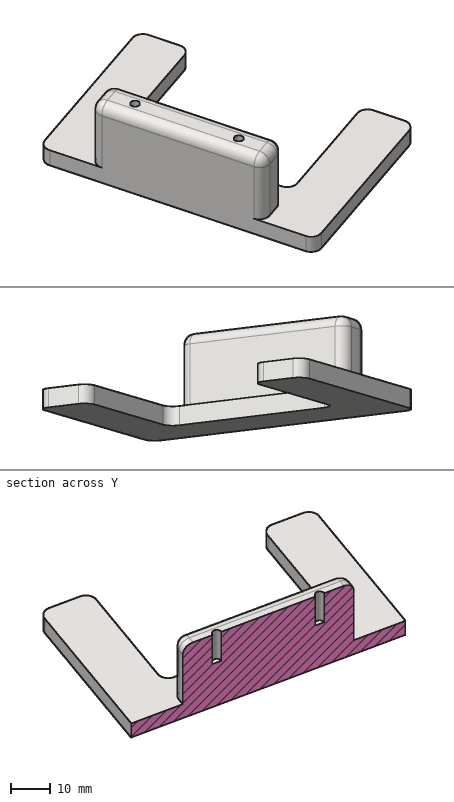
import cadquery as cq

plate_length = 80.0
plate_depth = plate_length * 2 / 3
plate_thickness = 5.0
arm_width = 15.0
crossbar_width = 15.0
opening_width = plate_length - 2 * arm_width

block_length = opening_width
block_depth = 10.0
block_height = 20.0

edge_radius = 3.0

hole_diameter = 2.5
hole_spacing = 30.0
hole_depth = 10.0

front_y = -plate_depth / 2
plate_top_z = plate_thickness
block_center_y = front_y + block_depth / 2
block_top_z = plate_top_z + block_height


def make_plate():
    """U-shaped plate with rounded outer and inner corners."""
    plate = cq.Workplane("XY").box(
        plate_length, plate_depth, plate_thickness, centered=(True, True, False)
    )
    opening_depth = plate_depth - crossbar_width
    opening_center_y = front_y + crossbar_width + opening_depth / 2
    opening = (
        cq.Workplane("XY")
        .center(0, opening_center_y)
        .rect(opening_width, opening_depth)
        .extrude(plate_thickness)
    )
    return plate.cut(opening).edges("|Z").fillet(edge_radius)


def make_block():
    """Upright block with rounded vertical edges and a rounded top rim."""
    return (
        cq.Workplane("XY", origin=(0, block_center_y, plate_top_z))
        .box(block_length, block_depth, block_height, centered=(True, True, False))
        .edges("|Z or >Z")
        .fillet(edge_radius)
    )


def make_holes():
    """Cylinders to remove from the top of the block."""
    return (
        cq.Workplane("XY", origin=(0, block_center_y, block_top_z))
        .pushPoints([(-hole_spacing / 2, 0), (hole_spacing / 2, 0)])
        .circle(hole_diameter / 2)
        .extrude(-hole_depth)
    )


result = make_plate().union(make_block()).cut(make_holes())